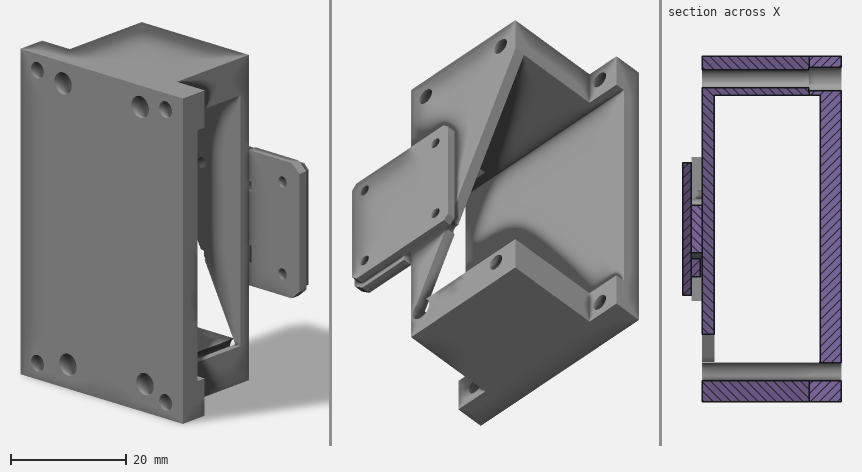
import cadquery as cq

PLATE_WIDTH = 38.0
HEIGHT = 60.0
PLATE_END_THICKNESS = 5.65
PLATE_MIDDLE_THICKNESS = 3.8
BLOCK_HEIGHT = 6.9
BLOCK_LEFT = 6.5
BLOCK_RIGHT = 31.5
BLOCK_BACK = 24.25
WEB_THICKNESS = 2.15
WEB_LOWER_LEFT = 30.3

SCREW_DIAMETER = 3.0
CLEARANCE_DIAMETER = 4.0
CORNER_INSET_X = 4.0
CORNER_INSET_Z = 3.0
CORNER_CENTRES = [
    (x, z)
    for x in (CORNER_INSET_X, PLATE_WIDTH - CORNER_INSET_X)
    for z in (CORNER_INSET_Z, HEIGHT - CORNER_INSET_Z)
]
BRACKET_SCREW_CENTRES = [(10.0, 56.05), (28.0, 56.05), (11.15, 4.45)]
WIDE_HOLE_CENTRE = (29.15, 5.2)

PATTERN_X = 30.9
PATTERN_Z = HEIGHT / 2
PATTERN_PITCH = 17.0
SMALL_DIAMETER = 2.0
half_pitch = PATTERN_PITCH / 2
PATTERN_CENTRES = [
    (PATTERN_X + side * half_pitch, PATTERN_Z + end * half_pitch)
    for side in (-1, 1)
    for end in (-1, 1)
]

TOTAL_DEPTH = 27.65
BOARD_THICKNESS = 1.6
BOARD_FRONT = TOTAL_DEPTH - BOARD_THICKNESS
BOARD_SIZE = 23.05
BOARD_CHAMFER = 1.0
SIDE_PLATE_LEFT = BLOCK_RIGHT
SIDE_PLATE_RIGHT = 43.3
SIDE_PLATE_HEIGHT = 24.95
SIDE_CHAMFER_X = 1.8
SIDE_CHAMFER_Z = 1.55
BOSS_DIAMETER = 10.3
NOTCH_FLOOR = 32.1
NOTCH_BOTTOM = 21.65
NOTCH_TOP = 36.8
CONNECTOR_LEFT = 24.25
CONNECTOR_FRONT = 24.5


def box_between(x0, x1, y0, y1, z0, z1):
    return cq.Workplane("XY").box(x1 - x0, y1 - y0, z1 - z0, centered=False).translate((x0, y0, z0))


def prism(points, y0, y1):
    """Extrude an (x, z) outline from y0 back to y1."""
    return cq.Workplane("XZ", origin=(0, y0, 0)).polyline(points).close().extrude(y0 - y1)


def cylinders(centres, diameter, y0, y1):
    """Round pieces along Y at the (x, z) centres."""
    return cq.Workplane("XZ", origin=(0, y0, 0)).pushPoints(centres).circle(diameter / 2).extrude(y0 - y1)


def make_plate():
    """Base plate, thinner between its two ends, with corner and clearance holes."""
    plate = box_between(0, PLATE_WIDTH, 0, PLATE_END_THICKNESS, 0, HEIGHT)
    recess = box_between(
        0, PLATE_WIDTH, PLATE_MIDDLE_THICKNESS, PLATE_END_THICKNESS, BLOCK_HEIGHT, HEIGHT - BLOCK_HEIGHT
    )
    plate = plate.cut(recess)
    plate = plate.cut(cylinders(CORNER_CENTRES, SCREW_DIAMETER, 0, PLATE_END_THICKNESS))
    clearance_centres = BRACKET_SCREW_CENTRES + [WIDE_HOLE_CENTRE]
    return plate.cut(cylinders(clearance_centres, CLEARANCE_DIAMETER, 0, PLATE_END_THICKNESS))


def make_web():
    """Thin rear web between the blocks, with a slanted left edge."""
    upper = HEIGHT - BLOCK_HEIGHT
    outline = [
        (BLOCK_LEFT, upper),
        (BLOCK_RIGHT, upper),
        (BLOCK_RIGHT, BLOCK_HEIGHT),
        (WEB_LOWER_LEFT, BLOCK_HEIGHT),
    ]
    web = prism(outline, BLOCK_BACK - WEB_THICKNESS, BLOCK_BACK)
    return web.cut(cylinders(PATTERN_CENTRES, SMALL_DIAMETER, BLOCK_BACK - WEB_THICKNESS, BLOCK_BACK))


def make_bracket():
    """Two standoff blocks on the plate ends, joined by the web."""
    bracket = make_web()
    for bottom in (0, HEIGHT - BLOCK_HEIGHT):
        block = box_between(
            BLOCK_LEFT, BLOCK_RIGHT, PLATE_END_THICKNESS, BLOCK_BACK, bottom, bottom + BLOCK_HEIGHT
        )
        bracket = bracket.union(block)
    bracket = bracket.cut(cylinders(BRACKET_SCREW_CENTRES, SCREW_DIAMETER, PLATE_END_THICKNESS, BLOCK_BACK))
    return bracket.cut(cylinders([WIDE_HOLE_CENTRE], CLEARANCE_DIAMETER, PLATE_END_THICKNESS, BLOCK_BACK))


def make_board():
    """Square board with chamfered corners and four holes."""
    half = BOARD_SIZE / 2
    board = box_between(
        PATTERN_X - half, PATTERN_X + half, BOARD_FRONT, TOTAL_DEPTH, PATTERN_Z - half, PATTERN_Z + half
    )
    board = board.edges("|Y").chamfer(BOARD_CHAMFER)
    return board.cut(cylinders(PATTERN_CENTRES, SMALL_DIAMETER, BOARD_FRONT, TOTAL_DEPTH))


def make_side_plate():
    """Plate in front of the board's right half, with a round boss growing from its notch."""
    top = PATTERN_Z + SIDE_PLATE_HEIGHT / 2
    bottom = PATTERN_Z - SIDE_PLATE_HEIGHT / 2
    outline = [
        (SIDE_PLATE_LEFT, bottom),
        (SIDE_PLATE_RIGHT - SIDE_CHAMFER_X, bottom),
        (SIDE_PLATE_RIGHT, bottom + SIDE_CHAMFER_Z),
        (SIDE_PLATE_RIGHT, top - SIDE_CHAMFER_Z),
        (SIDE_PLATE_RIGHT - SIDE_CHAMFER_X, top),
        (SIDE_PLATE_LEFT, top),
    ]
    notch = box_between(SIDE_PLATE_LEFT, NOTCH_FLOOR, BLOCK_BACK, BOARD_FRONT, NOTCH_BOTTOM, NOTCH_TOP)
    boss = cylinders([(PATTERN_X, PATTERN_Z)], BOSS_DIAMETER, BLOCK_BACK, BOARD_FRONT)
    plate = prism(outline, BLOCK_BACK, BOARD_FRONT).cut(notch).union(boss)
    return plate.cut(cylinders(PATTERN_CENTRES, SMALL_DIAMETER, BLOCK_BACK, BOARD_FRONT))


def make_connector():
    """Small block under the boss, on the board, clear of the web."""
    top = PATTERN_Z - BOSS_DIAMETER / 2
    return box_between(CONNECTOR_LEFT, SIDE_PLATE_LEFT, CONNECTOR_FRONT, BOARD_FRONT, NOTCH_BOTTOM, top)


base_plate = make_plate()
bracket = make_bracket()
board = make_board()
side_plate = make_side_plate()
connector = make_connector()

result = cq.Compound.makeCompound(
    [base_plate.val(), bracket.val(), board.val(), side_plate.val(), connector.val()]
)